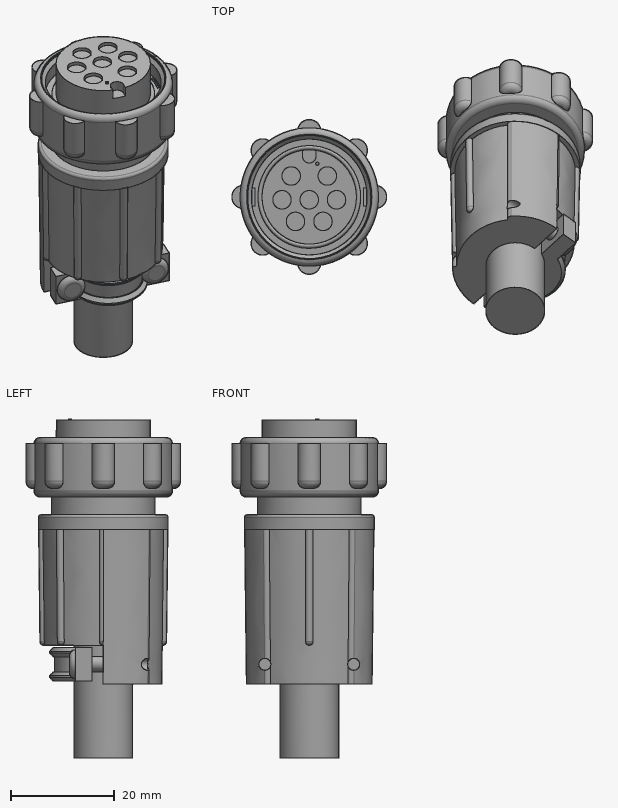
import cadquery as cq

SHELL_BOTTOM = 14.25
REAR_SHELL_BOTTOM = 21.7
COLLAR_BOTTOM = 44.05
COLLAR_TOP = 46.85
NUT_BOTTOM = 50.25
ANNULUS_FLOOR = 58.0
NUT_TOP = 61.72
CORE_TOP = 65.1
OVERALL_HEIGHT = 65.3

CABLE_RADIUS = 5.68
NECK_RADIUS = 10.0
CORE_RADIUS = 9.08

COLLAR_RADIUS = 12.52
COLLAR_FILLET = 0.55
BASE_RADIUS_TOP = 11.65
BASE_RADIUS_BOTTOM = 11.28
RIB_REACH_TOP = 12.46
RIB_REACH_BOTTOM = 12.11
RIB_RADIUS = 0.75
RIB_STEP_ANGLE = 45
RIB_OVERLAP = 0.2

SCREW_X = 8.55
SCREW_Z = 18.05
SCREW_RADIUS = 1.47
SCREW_HOLE_RADIUS = 1.15
SCREW_HOLE_FLOOR_Y = -6.0
SCREW_HEAD_RADIUS = 2.8
SCREW_HEAD_HEIGHT = 1.2
SCREW_HEAD_FILLET = 1.1

STRAP_HALF_LENGTH = 11.6
STRAP_HEIGHT = 6.5
EAR_FRONT_Y = 2.14
EAR_REAR_Y = 5.3
SADDLE_RADIUS = 7.5
SADDLE_REAR_Y = 10.35
SADDLE_GROOVE_WIDTH = 2.9
SADDLE_GROOVE_DEPTH = 0.95
FLANGE_CHAMFER = 0.75

NUT_RADIUS = 13.33
NUT_FILLET = 1.2
NUT_MOUTH_RADIUS = 12.05
MOUTH_STEP_DEPTH = 0.3
FUNNEL_TOP_RADIUS = 11.85
FUNNEL_DEPTH = 0.7
ANNULUS_RADIUS = 11.15
LUG_COUNT = 8
LUG_REACH = 14.92
LUG_RADIUS = 2.25
LUG_BOTTOM = 51.9
LUG_TOP = 60.6
LUG_FILLET = 1.4

BEAD_OUTER_RADIUS = 9.9
SLOT_LENGTH = 3.4
SLOT_WIDTH = 0.55
SLOT_CENTRE_X = 10.75
SLOT_DEPTH = 0.5

CONTACT_RADIUS = 1.78
CONTACT_DEPTH = 0.7
CONTACT_ROW_Y = -0.54
CONTACT_CENTRES = [
    (-3.48, 4.04), (3.48, 4.04),
    (-5.25, CONTACT_ROW_Y), (0, CONTACT_ROW_Y), (5.25, CONTACT_ROW_Y),
    (-2.65, -4.7), (2.65, -4.7),
]
KEY_RADIUS = 1.3
KEY_CENTRE_Y = 7.85
KEY_DEPTH = 2.0
DOT_CENTRE = (1.55, 6.4)
DOT_RADIUS = 0.3


def cylinder(radius, bottom, top):
    """Upright cylinder on the part axis."""
    return cq.Workplane("XY").workplane(offset=bottom).circle(radius).extrude(top - bottom)


def cone(bottom_radius, top_radius, bottom, top):
    """Upright truncated cone on the part axis."""
    profile = [(0, bottom), (bottom_radius, bottom), (top_radius, top), (0, top)]
    return cq.Workplane("XZ").polyline(profile).close().revolve(360, (0, 0), (0, 1))


def cylinder_along_y(radius, x, z, front, rear):
    """Cylinder parallel to Y between two Y positions."""
    plane = cq.Plane(origin=(x, front, z), xDir=(1, 0, 0), normal=(0, 1, 0))
    return cq.Workplane(plane).circle(radius).extrude(rear - front)


def rear_half_space(top):
    """Block covering everything behind the seam plane (+Y) up to a height."""
    depth = 2 * COLLAR_RADIUS
    return cq.Workplane("XY").box(2 * depth, depth, top, centered=(True, False, False))


def rib_axis_radius(z):
    """Distance of the rib centre line from the part axis at height z."""
    taper = (RIB_REACH_TOP - RIB_REACH_BOTTOM) / (COLLAR_BOTTOM - SHELL_BOTTOM)
    return RIB_REACH_TOP - taper * (COLLAR_BOTTOM - z) - RIB_RADIUS


def rib(angle, full_length):
    """Half-round rib following the taper; short ribs end in a ball."""
    top = COLLAR_BOTTOM + RIB_OVERLAP
    bottom = SHELL_BOTTOM - RIB_OVERLAP if full_length else REAR_SHELL_BOTTOM + RIB_RADIUS
    start = cq.Vector(rib_axis_radius(bottom), 0, bottom)
    axis = cq.Vector(rib_axis_radius(top), 0, top) - start
    plane = cq.Plane(origin=start.toTuple(), xDir=(0, 1, 0), normal=axis.toTuple())
    bar = cq.Workplane(plane).circle(RIB_RADIUS).extrude(axis.Length)
    if full_length:
        bar = bar.intersect(cylinder(NUT_RADIUS, SHELL_BOTTOM, top))
    else:
        bar = bar.union(cq.Workplane("XY").sphere(RIB_RADIUS).translate(start))
    return bar.rotate((0, 0, 0), (0, 0, 1), angle)


def side_pads():
    """Raised pads on the front half, from the seam to the diagonal ribs."""
    body = cone(RIB_REACH_BOTTOM, RIB_REACH_TOP, SHELL_BOTTOM, COLLAR_BOTTOM)
    reach = 2 * COLLAR_RADIUS
    wedges = (
        cq.Workplane("XY")
        .polyline([(0, 0), (reach, 0), (reach, -reach)]).close()
        .polyline([(0, 0), (-reach, 0), (-reach, -reach)]).close()
        .extrude(COLLAR_BOTTOM)
    )
    return body.intersect(wedges)


def shell():
    """Tapered shell with ribs, pads, collar and the two screw holes."""
    body = cone(BASE_RADIUS_BOTTOM, BASE_RADIUS_TOP, SHELL_BOTTOM, COLLAR_BOTTOM)
    body = body.union(side_pads()).cut(rear_half_space(REAR_SHELL_BOTTOM))
    front_diagonals = (225, 315)
    seam_sides = (0, 180)
    for angle in range(0, 360, RIB_STEP_ANGLE):
        new_rib = rib(angle, angle in front_diagonals)
        if angle in seam_sides:
            new_rib = new_rib.intersect(rear_half_space(COLLAR_TOP))
        body = body.union(new_rib)
    for x in (-SCREW_X, SCREW_X):
        hole = cylinder_along_y(SCREW_HOLE_RADIUS, x, SCREW_Z, -COLLAR_RADIUS, SCREW_HOLE_FLOOR_Y)
        body = body.cut(hole)
    collar = cylinder(COLLAR_RADIUS, COLLAR_BOTTOM, COLLAR_TOP).faces(">Z").edges().fillet(COLLAR_FILLET)
    return body.union(collar)


def saddle_layer(radius, bottom, height):
    """Round-backed slab of the saddle that bridges the cable."""
    centre_y = SADDLE_REAR_Y - SADDLE_RADIUS
    return (
        cq.Workplane("XY").workplane(offset=bottom)
        .moveTo(-radius, EAR_FRONT_Y)
        .lineTo(radius, EAR_FRONT_Y)
        .lineTo(radius, centre_y)
        .threePointArc((0, centre_y + radius), (-radius, centre_y))
        .close()
        .extrude(height)
    )


def clamp():
    """Strap with two ears, a flanged saddle and two screws."""
    bottom = SCREW_Z - STRAP_HEIGHT / 2
    flange_width = (STRAP_HEIGHT - SADDLE_GROOVE_WIDTH) / 2
    body = (
        cq.Workplane("XY").workplane(offset=bottom)
        .center(0, (EAR_FRONT_Y + EAR_REAR_Y) / 2)
        .rect(2 * STRAP_HALF_LENGTH, EAR_REAR_Y - EAR_FRONT_Y)
        .extrude(STRAP_HEIGHT)
    )
    body = body.union(saddle_layer(SADDLE_RADIUS - SADDLE_GROOVE_DEPTH, bottom, STRAP_HEIGHT))
    for flange_bottom in (bottom, bottom + STRAP_HEIGHT - flange_width):
        flange = saddle_layer(SADDLE_RADIUS, flange_bottom, flange_width)
        body = body.union(flange.edges("%CIRCLE").chamfer(FLANGE_CHAMFER))
    head_top = EAR_REAR_Y + SCREW_HEAD_HEIGHT
    for x in (-SCREW_X, SCREW_X):
        head = cylinder_along_y(SCREW_HEAD_RADIUS, x, SCREW_Z, EAR_REAR_Y, head_top)
        body = body.union(head.faces(">Y").edges().fillet(SCREW_HEAD_FILLET))
        body = body.union(cylinder_along_y(SCREW_RADIUS, x, SCREW_Z, -SCREW_RADIUS, EAR_REAR_Y))
    return body


def nut():
    """Coupling nut with rounded rims, grip lugs and a stepped funnel mouth."""
    body = cylinder(NUT_RADIUS, NUT_BOTTOM, NUT_TOP).edges().fillet(NUT_FILLET)
    lug = (
        cylinder(LUG_RADIUS, LUG_BOTTOM, LUG_TOP)
        .faces("<Z").edges().fillet(LUG_FILLET)
        .translate((LUG_REACH - LUG_RADIUS, 0, 0))
    )
    for index in range(LUG_COUNT):
        body = body.union(lug.rotate((0, 0, 0), (0, 0, 1), index * 360 / LUG_COUNT))
    funnel_top = NUT_TOP - MOUTH_STEP_DEPTH
    funnel_bottom = funnel_top - FUNNEL_DEPTH
    body = body.cut(cylinder(NUT_MOUTH_RADIUS, funnel_top, NUT_TOP))
    body = body.cut(cone(ANNULUS_RADIUS, FUNNEL_TOP_RADIUS, funnel_bottom, funnel_top))
    body = body.cut(cylinder(ANNULUS_RADIUS, ANNULUS_FLOOR, funnel_bottom))
    for x in (-SLOT_CENTRE_X, SLOT_CENTRE_X):
        slot = (
            cq.Workplane("XY").workplane(offset=ANNULUS_FLOOR)
            .center(x, 0).rect(SLOT_WIDTH, SLOT_LENGTH).extrude(-SLOT_DEPTH)
        )
        body = body.cut(slot)
    return body


def bead():
    """Rounded lip standing on the annulus floor around the core."""
    bead_radius = (BEAD_OUTER_RADIUS - CORE_RADIUS) / 2
    centre_radius = CORE_RADIUS + bead_radius
    return (
        cq.Workplane("XZ").center(centre_radius, ANNULUS_FLOOR).circle(bead_radius)
        .revolve(360, (-centre_radius, 0), (-centre_radius, 1))
    )


def core():
    """Insulating core with contact holes, a keyway and a locating dot."""
    body = cylinder(CORE_RADIUS, NUT_BOTTOM, CORE_TOP)
    face = cq.Workplane("XY").workplane(offset=CORE_TOP)
    body = body.cut(face.pushPoints(CONTACT_CENTRES).circle(CONTACT_RADIUS).extrude(-CONTACT_DEPTH))
    keyway = (
        face.moveTo(-KEY_RADIUS, CORE_RADIUS)
        .lineTo(-KEY_RADIUS, KEY_CENTRE_Y)
        .threePointArc((0, KEY_CENTRE_Y - KEY_RADIUS), (KEY_RADIUS, KEY_CENTRE_Y))
        .lineTo(KEY_RADIUS, CORE_RADIUS)
        .close()
        .extrude(-KEY_DEPTH)
    )
    dot = face.center(*DOT_CENTRE).circle(DOT_RADIUS).extrude(OVERALL_HEIGHT - CORE_TOP)
    return body.cut(keyway).union(dot)


cable = cylinder(CABLE_RADIUS, 0, COLLAR_BOTTOM)
neck = cylinder(NECK_RADIUS, COLLAR_TOP, NUT_BOTTOM)
result = shell().union(cable).union(clamp()).union(neck).union(nut()).union(bead()).union(core())